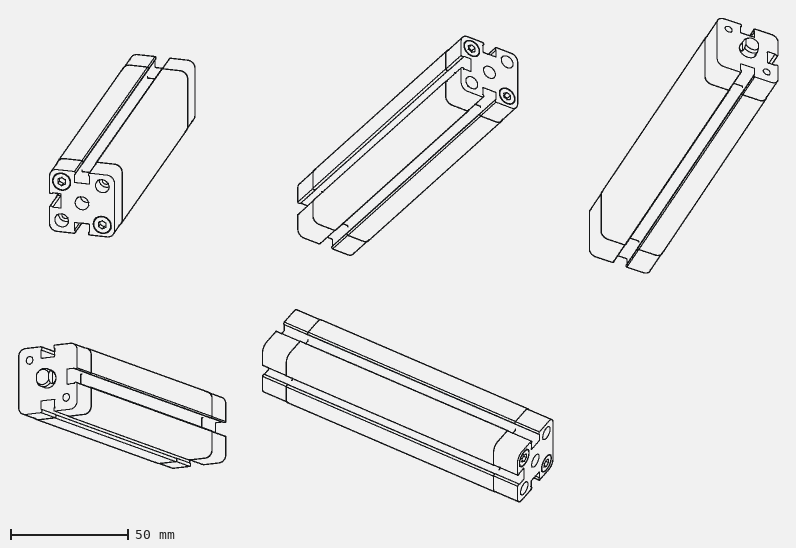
import cadquery as cq
import math

TUBE_SIZE = 29.05
CAP_SIZE = 28.8
CAP_LENGTH = 12.0
BODY_LENGTH = 128.0
TUBE_LENGTH = BODY_LENGTH - 2 * CAP_LENGTH
CORNER_RADIUS = 3.35

SLOT_WIDTH = 6.6
LIP_THICKNESS = 1.5
TUBE_FLOOR_HEIGHT = 9.4
TUBE_FLOOR_RADIUS = 0.65
TUBE_LIP_REACH = 0.55
CAP_FLOOR_HEIGHT = 9.3
CAP_FLOOR_RADIUS = 0.3
CAP_LIP_REACH = 0.4
SLOT_ANGLES = (0, 90, 180)

BOLT_OFFSET = 9.0
THREAD_DIAMETER = 3.24
COUNTERBORE_DIAMETER = 6.0
COUNTERBORE_DEPTH = 6.0
SCREW_POCKET_DIAMETER = 8.0
SCREW_HEAD_DIAMETER = 7.5
SCREW_GAP_DEPTH = 4.0
HEX_ACROSS_FLATS = 3.3
HEX_DEPTH = 2.5
CENTRE_HOLE_DIAMETER = 6.0
CENTRE_HOLE_DEPTH = 8.0

ROD_DIAMETER = 8.0
ROD_PROJECTION = 4.5
ROD_ACROSS_FLATS = 6.0
FLAT_LENGTH = 3.4
ROD_CHAMFER_RADIAL = 0.7
ROD_CHAMFER_LENGTH = 1.3


def end_plane():
    """Sketch plane at Y = 0: local X is +X, local Y is +Z, negative extrusion goes to +Y."""
    return cq.Workplane("XZ")


def rounded_bar(size, length):
    return end_plane().rect(size, size).extrude(-length).edges("|Y").fillet(CORNER_RADIUS)


def lipped_slot(top, floor, floor_radius, lip_reach, length):
    """Slot in the top side, starting at Y = 0, with its mouth narrowed by two round-nosed lips."""
    half_width = SLOT_WIDTH / 2
    lip_bottom = top - LIP_THICKNESS
    channel = (
        end_plane()
        .center(0, (top + floor) / 2)
        .rect(SLOT_WIDTH, top - floor)
        .extrude(-length)
        .edges("|Y and <Z")
        .fillet(floor_radius)
    )
    nose_tip = half_width - lip_reach
    nose_middle = (top + lip_bottom) / 2
    right_lip = (
        end_plane()
        .moveTo(half_width, top)
        .threePointArc((nose_tip, nose_middle), (half_width, lip_bottom))
        .close()
        .extrude(-length)
    )
    return channel.cut(right_lip).cut(right_lip.mirror("YZ"))


def cut_slots(bar, slot):
    """Cut the slot into three of the bar's four sides."""
    for angle in SLOT_ANGLES:
        bar = bar.cut(slot.rotate((0, 0, 0), (0, -1, 0), angle))
    return bar


def cap():
    slot = lipped_slot(CAP_SIZE / 2, CAP_FLOOR_HEIGHT, CAP_FLOOR_RADIUS, CAP_LIP_REACH, CAP_LENGTH)
    return cut_slots(rounded_bar(CAP_SIZE, CAP_LENGTH), slot)


def tube():
    slot = lipped_slot(TUBE_SIZE / 2, TUBE_FLOOR_HEIGHT, TUBE_FLOOR_RADIUS, TUBE_LIP_REACH, TUBE_LENGTH)
    return cut_slots(rounded_bar(TUBE_SIZE, TUBE_LENGTH), slot)


def rod_end():
    radius = ROD_DIAMETER / 2
    tip = BODY_LENGTH + ROD_PROJECTION
    rod = (
        cq.Workplane("XY")
        .moveTo(0, BODY_LENGTH)
        .lineTo(radius, BODY_LENGTH)
        .lineTo(radius, tip - ROD_CHAMFER_LENGTH)
        .lineTo(radius - ROD_CHAMFER_RADIAL, tip)
        .lineTo(0, tip)
        .close()
        .revolve(360, (0, 0, 0), (0, 1, 0))
    )
    half_flats = ROD_ACROSS_FLATS / 2
    flat_start = tip - FLAT_LENGTH
    runout = radius - half_flats
    flat_cutter = (
        cq.Workplane("XY")
        .moveTo(half_flats, tip)
        .lineTo(half_flats, flat_start)
        .lineTo(radius, flat_start - runout)
        .lineTo(radius, tip)
        .close()
        .extrude(radius, both=True)
    )
    return rod.cut(flat_cutter).cut(flat_cutter.mirror("YZ"))


def cut_front_holes(body):
    """Counterbored through holes on one diagonal, and the central blind hole."""
    points = [(BOLT_OFFSET, BOLT_OFFSET), (-BOLT_OFFSET, -BOLT_OFFSET)]
    through = end_plane().pushPoints(points).circle(THREAD_DIAMETER / 2).extrude(-BODY_LENGTH)
    bores = end_plane().pushPoints(points).circle(COUNTERBORE_DIAMETER / 2).extrude(-COUNTERBORE_DEPTH)
    centre = end_plane().circle(CENTRE_HOLE_DIAMETER / 2).extrude(-CENTRE_HOLE_DEPTH)
    return body.cut(through).cut(bores).cut(centre)


def cut_socket_screws(body):
    """Socket screw heads on the other diagonal: ring gaps around the heads and hexagon sockets."""
    hex_corners = HEX_ACROSS_FLATS / math.cos(math.pi / 6)
    for side in (-1, 1):
        offset = cq.Vector(side * BOLT_OFFSET, 0, -side * BOLT_OFFSET)
        gap = end_plane().circle(SCREW_POCKET_DIAMETER / 2).circle(SCREW_HEAD_DIAMETER / 2)
        socket = end_plane().transformed(rotate=(0, 0, 90)).polygon(6, hex_corners)
        body = body.cut(gap.extrude(-SCREW_GAP_DEPTH).translate(offset))
        body = body.cut(socket.extrude(-HEX_DEPTH).translate(offset))
    return body


front_cap = cap()
middle_tube = tube().translate((0, CAP_LENGTH, 0))
rear_cap = cap().translate((0, CAP_LENGTH + TUBE_LENGTH, 0))
body = middle_tube.union(front_cap).union(rear_cap)
body = cut_socket_screws(cut_front_holes(body))
result = body.union(rod_end())